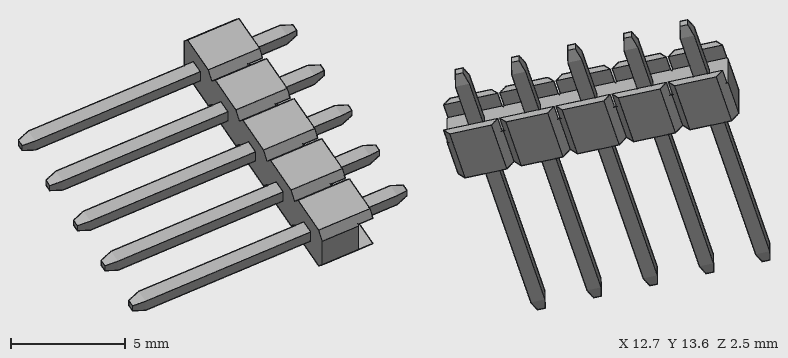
import cadquery as cq

pin_count = 5
row_length = 12.7
pitch = row_length / pin_count
housing_depth = 2.55
housing_height = 2.5
corner_width = 0.33
corner_height = 0.42

lip_thickness = 0.37
channel_depth = 0.73

pin_length = 13.6
pin_width = 0.64
tip_width = 0.35
tip_length = 0.57
rear_projection = 2.31
pin_offset = -0.11

housing_rear = housing_depth / 2
pin_rear = housing_rear + rear_projection
pin_front = pin_rear - pin_length
block_centers = [(i - (pin_count - 1) / 2) * pitch for i in range(pin_count)]


def make_block(center_x):
    """One octagonal housing block; neighbouring blocks meet in V notches."""
    side = pitch / 2
    flat = side - corner_width
    top = housing_height / 2
    shoulder = top - corner_height
    outline = [
        (-side, -shoulder),
        (-flat, -top),
        (flat, -top),
        (side, -shoulder),
        (side, shoulder),
        (flat, top),
        (-flat, top),
        (-side, shoulder),
    ]
    return (
        cq.Workplane("XZ", origin=(center_x, housing_rear, 0))
        .polyline(outline)
        .close()
        .extrude(housing_depth)
    )


def make_tip(center_x, base_y, direction):
    """Tapered pin end that narrows from base_y towards +Y (1) or -Y (-1)."""
    base = cq.Plane(origin=(center_x, base_y, 0), xDir=(1, 0, 0), normal=(0, direction, 0))
    return (
        cq.Workplane(base)
        .rect(pin_width, pin_width)
        .workplane(offset=tip_length)
        .rect(tip_width, tip_width)
        .loft(ruled=True)
    )


def make_pin(center_x):
    """Straight square pin with a tapered tip at each end."""
    shaft_front = pin_front + tip_length
    shaft_rear = pin_rear - tip_length
    shaft = (
        cq.Workplane("XZ", origin=(center_x, shaft_rear, 0))
        .rect(pin_width, pin_width)
        .extrude(shaft_rear - shaft_front)
    )
    front_tip = make_tip(center_x, shaft_front, -1)
    rear_tip = make_tip(center_x, shaft_rear, 1)
    return shaft.union(front_tip).union(rear_tip)


result = make_block(block_centers[0])
for block_x in block_centers[1:]:
    result = result.union(make_block(block_x))

channel = (
    cq.Workplane("XZ", origin=(0, housing_rear, 0))
    .rect(row_length, housing_height - 2 * lip_thickness)
    .extrude(channel_depth)
)
result = result.cut(channel)

for block_x in block_centers:
    result = result.union(make_pin(block_x + pin_offset))